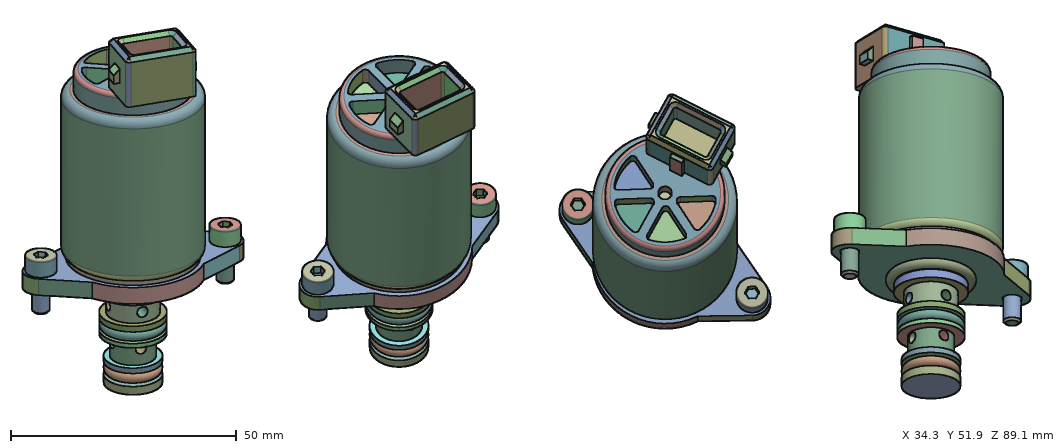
import cadquery as cq
import math

FLANGE_BOTTOM = 27.1
FLANGE_THICKNESS = 4.0
FLANGE_TOP = FLANGE_BOTTOM + FLANGE_THICKNESS
SHELL_BOTTOM = 31.9
SHELL_TOP = 72.1
CAP_TOP = 77.2
PLUG_TOP = 89.1

SHELL_DIAMETER = 32.0
SHELL_FILLET = 2.0
COLLAR_DIAMETER = 30.0
CAP_DIAMETER = 26.5
CAP_FILLET = 1.0

POCKET_ANGLES = (90, 150, 210, 270)
POCKET_SECTOR = 60
POCKET_RADIUS = 11.4
POCKET_DEPTH = 4.0
POCKET_CORNER_RADIUS = 0.9
SPOKE_WIDTH = 2.1
VENT_DIAMETER = 3.0

PLUG_X_MAX = 18.1
PLUG_LENGTH_X = 11.9
PLUG_WIDTH_Y = 16.7
PLUG_WALL = 2.4
PLUG_EDGE = 1.0
CAVITY_CORNER_RADIUS = 0.5
PLUG_FLOOR = CAP_TOP + PLUG_WALL
PLUG_X = PLUG_X_MAX - PLUG_LENGTH_X / 2
KEY_WIDTH = 3.0
KEY_PROTRUSION = 1.0
KEY_TOP = 87.1
LATCH_WIDTH = 3.2
LATCH_PROTRUSION = 1.4
LATCH_BOTTOM = 81.3
LATCH_HEIGHT = 3.5

FLANGE_DISC_RADIUS = 16.2
EAR_RADIUS = 4.1
FLANGE_LENGTH = 51.9
SCREW_Y = FLANGE_LENGTH / 2 - EAR_RADIUS
EAR_SIDE_ANGLE = 28.8

SCREW_HEAD_DIAMETER = 7.0
SCREW_HEAD_HEIGHT = 4.0
SCREW_HEAD_FILLET = 0.2
SCREW_SHANK_DIAMETER = 4.0
SCREW_HOLE_DIAMETER = 4.3
SCREW_TIP_Z = 21.1
SCREW_TIP_CHAMFER = 0.5
SOCKET_ACROSS_FLATS = 2.8
SOCKET_DEPTH = 2.0

NOSE_DIAMETER = 13.1
NOSE_GROOVE_DIAMETER = 8.3
MIDDLE_DIAMETER = 15.1
MIDDLE_GROOVE_DIAMETER = 10.0
TOP_LAND_DIAMETER = 16.5
TOP_GROOVE_DIAMETER = 15.4
TOP_RING_DIAMETER = 20.05
LOWER_NECK_DIAMETER = 10.3
UPPER_NECK_DIAMETER = 12.0

NOSE_LAND_TOP = 2.05
NOSE_GROOVE_TOP = 5.3
NOSE_TOP = 6.6
MIDDLE_BOTTOM = 12.0
MIDDLE_GROOVE_BOTTOM = 13.1
MIDDLE_GROOVE_TOP = 15.95
MIDDLE_TOP = 17.4
TOP_LAND_BOTTOM = 22.8
TOP_LAND_TOP = 24.8

SPOOL_SECTIONS = (
    (NOSE_DIAMETER, NOSE_LAND_TOP),
    (NOSE_GROOVE_DIAMETER, NOSE_GROOVE_TOP),
    (NOSE_DIAMETER, NOSE_TOP),
    (LOWER_NECK_DIAMETER, MIDDLE_BOTTOM),
    (MIDDLE_DIAMETER, MIDDLE_GROOVE_BOTTOM),
    (MIDDLE_GROOVE_DIAMETER, MIDDLE_GROOVE_TOP),
    (MIDDLE_DIAMETER, MIDDLE_TOP),
    (UPPER_NECK_DIAMETER, TOP_LAND_BOTTOM),
    (TOP_LAND_DIAMETER, TOP_LAND_TOP),
    (TOP_GROOVE_DIAMETER, FLANGE_BOTTOM),
)

PORT_DIAMETER = 2.5
PORT_HEIGHTS = (10.5, 20.0)

RING_SIZES = (
    (NOSE_GROOVE_DIAMETER, NOSE_DIAMETER, (NOSE_LAND_TOP + NOSE_GROOVE_TOP) / 2),
    (MIDDLE_GROOVE_DIAMETER, MIDDLE_DIAMETER, (MIDDLE_GROOVE_BOTTOM + MIDDLE_GROOVE_TOP) / 2),
    (TOP_GROOVE_DIAMETER, TOP_RING_DIAMETER, (TOP_LAND_TOP + FLANGE_BOTTOM) / 2),
)


def disc(diameter, bottom, top):
    """Upright cylinder on the main axis."""
    return cq.Workplane("XY").workplane(offset=bottom).circle(diameter / 2).extrude(top - bottom)


def block(center_x, length_x, width_y, bottom, top):
    """Upright block centred on the XZ plane."""
    base = cq.Workplane("XY").workplane(offset=bottom).center(center_x, 0)
    return base.rect(length_x, width_y).extrude(top - bottom)


def make_spool():
    spool = None
    bottom = 0.0
    for diameter, top in SPOOL_SECTIONS:
        section = disc(diameter, bottom, top)
        spool = section if spool is None else spool.union(section)
        bottom = top
    for height in PORT_HEIGHTS:
        for plane in ("XZ", "YZ"):
            port = cq.Workplane(plane).center(0, height).circle(PORT_DIAMETER / 2)
            spool = spool.cut(port.extrude(MIDDLE_DIAMETER, both=True))
    return spool


def make_flange():
    flange = disc(2 * FLANGE_DISC_RADIUS, FLANGE_BOTTOM, FLANGE_TOP)
    slope = math.radians(EAR_SIDE_ANGLE)
    tangent_x = EAR_RADIUS * math.cos(slope)
    tangent_y = SCREW_Y + EAR_RADIUS * math.sin(slope)
    base_x = tangent_x + tangent_y * math.tan(slope)
    side_distance = base_x * math.cos(slope)
    side_run = math.sqrt(FLANGE_DISC_RADIUS ** 2 - side_distance ** 2)
    corner_x = side_distance * math.cos(slope) - side_run * math.sin(slope)
    corner_y = side_distance * math.sin(slope) + side_run * math.cos(slope)
    for side in (1, -1):
        ear = (
            cq.Workplane("XY")
            .workplane(offset=FLANGE_BOTTOM)
            .moveTo(-corner_x, side * corner_y)
            .lineTo(-tangent_x, side * tangent_y)
            .threePointArc((0, side * FLANGE_LENGTH / 2), (tangent_x, side * tangent_y))
            .lineTo(corner_x, side * corner_y)
            .lineTo(0, 0)
            .close()
            .extrude(FLANGE_THICKNESS)
        )
        flange = flange.union(ear)
    return flange


def make_pocket(angle):
    """Rounded sector pocket cut down from the top of the cap."""
    half_angle = math.radians(POCKET_SECTOR / 2)
    half_spoke = SPOKE_WIDTH / 2
    apex = half_spoke / math.sin(half_angle)
    corner_angle = half_angle - math.asin(half_spoke / POCKET_RADIUS)
    corner_x = POCKET_RADIUS * math.cos(corner_angle)
    corner_y = POCKET_RADIUS * math.sin(corner_angle)
    pocket = (
        cq.Workplane("XY")
        .workplane(offset=CAP_TOP - POCKET_DEPTH)
        .moveTo(apex, 0)
        .lineTo(corner_x, -corner_y)
        .threePointArc((POCKET_RADIUS, 0), (corner_x, corner_y))
        .close()
        .extrude(POCKET_DEPTH)
        .edges("|Z")
        .fillet(POCKET_CORNER_RADIUS)
    )
    return pocket.rotate((0, 0, 0), (0, 0, 1), angle)


def make_cap():
    cap = disc(CAP_DIAMETER, SHELL_TOP, CAP_TOP).faces(">Z").edges().fillet(CAP_FILLET)
    for angle in POCKET_ANGLES:
        cap = cap.cut(make_pocket(angle))
    return cap.cut(disc(VENT_DIAMETER, CAP_TOP - POCKET_DEPTH, CAP_TOP))


def make_latch(side):
    """Catch on the +Y (side = 1) or -Y (side = -1) wall, with a 45 degree lead-in above."""
    wall_y = side * PLUG_WIDTH_Y / 2
    root_y = wall_y - side * PLUG_EDGE
    tip_y = wall_y + side * LATCH_PROTRUSION
    latch_top = LATCH_BOTTOM + LATCH_HEIGHT
    profile = (
        cq.Workplane("YZ")
        .workplane(offset=PLUG_X - LATCH_WIDTH / 2)
        .moveTo(root_y, LATCH_BOTTOM)
        .lineTo(tip_y, LATCH_BOTTOM)
        .lineTo(tip_y, latch_top - LATCH_PROTRUSION)
        .lineTo(wall_y, latch_top)
        .lineTo(root_y, latch_top)
        .close()
    )
    return profile.extrude(LATCH_WIDTH)


def make_plug():
    plug = block(PLUG_X, PLUG_LENGTH_X, PLUG_WIDTH_Y, CAP_TOP, PLUG_TOP)
    plug = plug.edges("|Z").fillet(PLUG_EDGE).faces(">Z").chamfer(PLUG_EDGE)
    cavity_length = PLUG_LENGTH_X - 2 * PLUG_WALL
    cavity_width = PLUG_WIDTH_Y - 2 * PLUG_WALL
    cavity = block(PLUG_X, cavity_length, cavity_width, PLUG_FLOOR, PLUG_TOP)
    plug = plug.cut(cavity.edges("|Z").fillet(CAVITY_CORNER_RADIUS))
    mouth_edges = plug.faces(">Z").val().innerWires()[0].Edges()
    plug = plug.newObject(mouth_edges).chamfer(PLUG_EDGE)
    plug_x_min = PLUG_X_MAX - PLUG_LENGTH_X
    plug = plug.union(block(plug_x_min, 2 * KEY_PROTRUSION, KEY_WIDTH, CAP_TOP, KEY_TOP))
    for side in (1, -1):
        plug = plug.union(make_latch(side))
    return plug


def make_valve_body():
    """Spool, flange, solenoid shell, cap and plug socket as one solid."""
    shell = disc(SHELL_DIAMETER, SHELL_BOTTOM, SHELL_TOP).faces("<Z or >Z").edges().fillet(SHELL_FILLET)
    collar = disc(COLLAR_DIAMETER, FLANGE_TOP, SHELL_BOTTOM + SHELL_FILLET)
    body = make_spool().union(make_flange()).union(collar).union(shell)
    body = body.union(make_cap()).union(make_plug())
    for side in (1, -1):
        screw_hole = disc(SCREW_HOLE_DIAMETER, FLANGE_BOTTOM, FLANGE_TOP)
        body = body.cut(screw_hole.translate((0, side * SCREW_Y, 0)))
    return body


def make_screw(side):
    """Socket head cap screw in the +Y (side = 1) or -Y (side = -1) ear."""
    shank = disc(SCREW_SHANK_DIAMETER, SCREW_TIP_Z, FLANGE_TOP)
    shank = shank.faces("<Z").chamfer(SCREW_TIP_CHAMFER)
    head_top = FLANGE_TOP + SCREW_HEAD_HEIGHT
    head = disc(SCREW_HEAD_DIAMETER, FLANGE_TOP, head_top)
    head = head.edges("%CIRCLE").fillet(SCREW_HEAD_FILLET)
    across_corners = SOCKET_ACROSS_FLATS / math.cos(math.pi / 6)
    socket = (
        cq.Workplane("XY")
        .workplane(offset=head_top - SOCKET_DEPTH)
        .polygon(6, across_corners)
        .extrude(SOCKET_DEPTH)
    )
    return shank.union(head).cut(socket).translate((0, side * SCREW_Y, 0))


def make_ring(inner_diameter, outer_diameter, height):
    """Round-section sealing ring around the spool."""
    section_radius = (outer_diameter - inner_diameter) / 4
    center_radius = (outer_diameter + inner_diameter) / 4
    profile = cq.Workplane("XZ").center(center_radius, height).circle(section_radius)
    return profile.revolve(360, (-center_radius, 0, 0), (-center_radius, 1, 0))


valve_body = make_valve_body()
screws = [make_screw(side) for side in (1, -1)]
rings = [make_ring(*sizes) for sizes in RING_SIZES]

result = cq.Compound.makeCompound(
    [valve_body.val()]
    + [screw.val() for screw in screws]
    + [ring.val() for ring in rings]
)